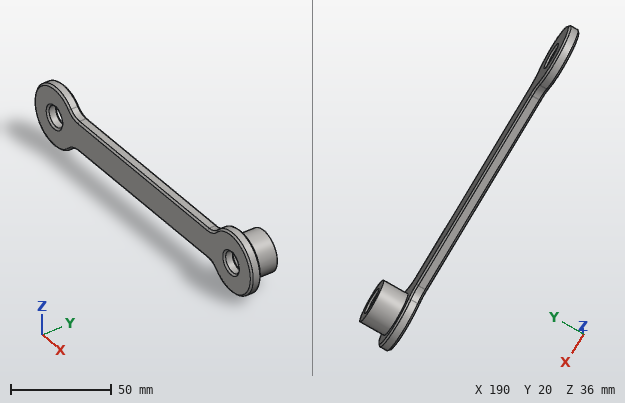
import cadquery as cq
import math

overall_length = 190.0
eye_diameter = 36.0
bar_width = 18.0
link_thickness = 6.0
overall_depth = 20.0
neck_radius = 10.0
bore_diameter = 12.2
edge_chamfer = 1.05
bushing_diameter = 24.0

eye_radius = eye_diameter / 2
eye_offset = (overall_length - eye_diameter) / 2
bushing_length = overall_depth - link_thickness


def cylinder_along_y(diameter, x, y_start, length):
    """Cylinder whose axis runs in +Y from y_start."""
    return cq.Workplane(
        cq.Solid.makeCylinder(diameter / 2, length, cq.Vector(x, y_start, 0), cq.Vector(0, 1, 0))
    )


def link_outline():
    """Closed outline of two round eyes, blended into a straight bar by concave neck arcs."""
    half_bar = bar_width / 2
    center_distance = eye_radius + neck_radius
    neck_z = half_bar + neck_radius
    neck_dx = math.sqrt(center_distance**2 - neck_z**2)

    touch_x = eye_offset - neck_dx * eye_radius / center_distance
    touch_z = neck_z * eye_radius / center_distance
    bar_end_x = eye_offset - neck_dx
    middle_angle = math.acos(neck_z / center_distance) / 2
    middle_x = bar_end_x + neck_radius * math.sin(middle_angle)
    middle_z = neck_z - neck_radius * math.cos(middle_angle)
    tip_x = overall_length / 2

    return (
        cq.Workplane("XZ")
        .moveTo(-bar_end_x, half_bar)
        .lineTo(bar_end_x, half_bar)
        .threePointArc((middle_x, middle_z), (touch_x, touch_z))
        .threePointArc((tip_x, 0), (touch_x, -touch_z))
        .threePointArc((middle_x, -middle_z), (bar_end_x, -half_bar))
        .lineTo(-bar_end_x, -half_bar)
        .threePointArc((-middle_x, -middle_z), (-touch_x, -touch_z))
        .threePointArc((-tip_x, 0), (-touch_x, touch_z))
        .threePointArc((-middle_x, middle_z), (-bar_end_x, half_bar))
        .close()
    )


def make_link():
    """Flat link with a bore in each eye; outer rims and bore mouths are chamfered."""
    link = link_outline().extrude(-link_thickness)
    for x in (-eye_offset, eye_offset):
        link = link.cut(cylinder_along_y(bore_diameter, x, 0, link_thickness))
    return link.faces("<Y or >Y").edges().chamfer(edge_chamfer)


def make_bushing():
    """Bushing on the back of the right eye; its through bore has the same chamfered mouths as the eye's."""
    bushing = cylinder_along_y(bushing_diameter, eye_offset, link_thickness, bushing_length)
    bushing = bushing.cut(cylinder_along_y(bore_diameter, eye_offset, link_thickness, bushing_length))
    bore_mouths = cq.selectors.RadiusNthSelector(0)
    return bushing.faces("<Y or >Y").edges(bore_mouths).chamfer(edge_chamfer)


link = make_link()
bushing = make_bushing()

result = cq.Compound.makeCompound([link.val(), bushing.val()])